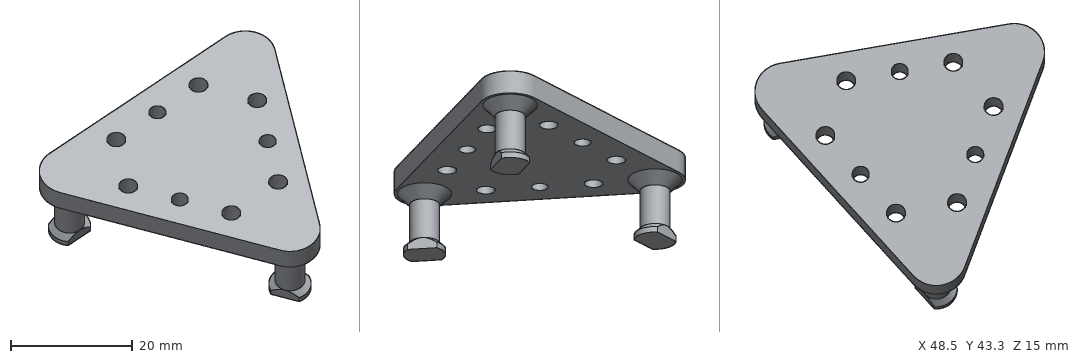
import cadquery as cq
import math

overall_width = 48.5
corner_radius = 5.0
plate_thickness = 4.0
overall_height = 15.0

leg_diameter = 5.0
collar_diameter = 9.0
collar_height = 2.0
foot_diameter = 7.0
foot_rim_height = 1.0
foot_taper_height = 1.0
foot_flat_spacing = leg_diameter

outer_hole_diameter = 3.1
middle_hole_diameter = 2.8
hole_spacing = 9.0

side_count = 3
side_angle = 360.0 / side_count
leg_spacing = overall_width - 2 * corner_radius
side_distance = leg_spacing / (2 * math.sqrt(3))
plate_bottom = overall_height - plate_thickness
collar_bottom = plate_bottom - collar_height
foot_height = foot_rim_height + foot_taper_height


def around_center(shape):
    """Return one copy of the shape for each side of the triangle."""
    axis_start = (0, 0, 0)
    axis_end = (0, 0, 1)
    return [shape.rotate(axis_start, axis_end, side * side_angle) for side in range(side_count)]


def make_plate():
    """Triangle through the leg axes, grown outward by the corner radius."""
    leg_points = [
        (-leg_spacing / 2, -side_distance),
        (leg_spacing / 2, -side_distance),
        (0, 2 * side_distance),
    ]
    return (
        cq.Workplane("XY")
        .workplane(offset=plate_bottom)
        .polyline(leg_points)
        .close()
        .offset2D(corner_radius, "arc")
        .extrude(plate_thickness)
    )


def make_foot():
    """Tapered disc with two opposite flats parallel to X."""
    rim_radius = foot_diameter / 2
    leg_radius = leg_diameter / 2
    disc = (
        cq.Workplane("XZ")
        .moveTo(0, 0)
        .lineTo(rim_radius, 0)
        .lineTo(rim_radius, foot_rim_height)
        .lineTo(leg_radius, foot_height)
        .lineTo(0, foot_height)
        .close()
        .revolve(360, (0, 0), (0, 1))
    )
    flats = cq.Workplane("XY").rect(foot_diameter, foot_flat_spacing).extrude(foot_height)
    return disc.intersect(flats)


def make_leg():
    """Round leg with a conical collar under the plate and a flatted foot."""
    leg_radius = leg_diameter / 2
    shaft_and_collar = (
        cq.Workplane("XZ")
        .moveTo(0, 0)
        .lineTo(leg_radius, 0)
        .lineTo(leg_radius, collar_bottom)
        .lineTo(collar_diameter / 2, plate_bottom)
        .lineTo(0, plate_bottom)
        .close()
        .revolve(360, (0, 0), (0, 1))
    )
    leg = shaft_and_collar.union(make_foot())
    return leg.translate((leg_spacing / 2, -side_distance, 0))


def make_hole_row():
    """Cutters for the three through holes along the -Y side."""
    plate_level = cq.Workplane("XY").workplane(offset=plate_bottom)
    middle_hole = (
        plate_level.center(0, -side_distance)
        .circle(middle_hole_diameter / 2)
        .extrude(plate_thickness)
    )
    outer_holes = (
        plate_level.pushPoints([(-hole_spacing, -side_distance), (hole_spacing, -side_distance)])
        .circle(outer_hole_diameter / 2)
        .extrude(plate_thickness)
    )
    return middle_hole.union(outer_holes)


result = make_plate()
for leg in around_center(make_leg()):
    result = result.union(leg)
for hole_row in around_center(make_hole_row()):
    result = result.cut(hole_row)